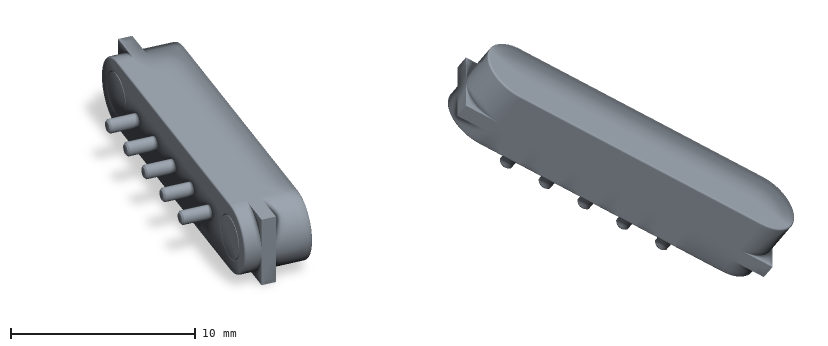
import cadquery as cq

LENGTH = 20.08
HEIGHT = 4.2
DEPTH = 4.0
RIM_RADIUS = 0.1

FLANGE_FRONT_Y = 0.98
FLANGE_THICKNESS = 0.85

MAGNET_SPACING = LENGTH - HEIGHT
MAGNET_DIAMETER = 2.5
MAGNET_HOLE_EDGE_RADIUS = 0.1
MAGNET_DEPTH = DEPTH / 2

PIN_COUNT = 5
PIN_ROW_LENGTH = 10.16
PIN_PITCH = PIN_ROW_LENGTH / (PIN_COUNT - 1)
PIN_DIAMETER = 0.8
PIN_PROJECTION = 1.75
PIN_EMBED = MAGNET_DEPTH
PIN_CHAMFER = 0.1

magnet_xs = [-MAGNET_SPACING / 2, MAGNET_SPACING / 2]
pin_xs = [i * PIN_PITCH - PIN_ROW_LENGTH / 2 for i in range(PIN_COUNT)]


def rod_along_y(diameter, x, start_y, length):
    """Round rod at the given X, running toward +Y from start_y."""
    plane = cq.Plane(origin=(x, start_y, 0), xDir=(1, 0, 0), normal=(0, 1, 0))
    return cq.Workplane(plane).circle(diameter / 2).extrude(length)


def make_housing():
    """Round-ended block with a square-ended flange and blind holes for magnets and pins."""
    body = (
        cq.Workplane("XZ")
        .slot2D(LENGTH, HEIGHT)
        .extrude(-DEPTH)
        .faces("<Y or >Y")
        .fillet(RIM_RADIUS)
    )
    flange = (
        cq.Workplane("XZ", origin=(0, FLANGE_FRONT_Y, 0))
        .rect(LENGTH, HEIGHT)
        .extrude(-FLANGE_THICKNESS)
    )
    body = body.union(flange)
    for x in magnet_xs:
        body = body.cut(rod_along_y(MAGNET_DIAMETER, x, 0, MAGNET_DEPTH))
        hole_mouth = cq.selectors.NearestToPointSelector((x, 0, MAGNET_DIAMETER / 2))
        body = body.faces("<Y").edges("%CIRCLE").edges(hole_mouth).fillet(MAGNET_HOLE_EDGE_RADIUS)
    for x in pin_xs:
        body = body.cut(rod_along_y(PIN_DIAMETER, x, 0, PIN_EMBED))
    return body


def make_magnet(x):
    """Plain disc, flush with the front face of the housing."""
    return rod_along_y(MAGNET_DIAMETER, x, 0, MAGNET_DEPTH)


def make_pin(x):
    """Pin set into the housing, its free end chamfered."""
    pin = rod_along_y(PIN_DIAMETER, x, -PIN_PROJECTION, PIN_PROJECTION + PIN_EMBED)
    return pin.faces("<Y").chamfer(PIN_CHAMFER)


housing = make_housing()
magnets = [make_magnet(x) for x in magnet_xs]
pins = [make_pin(x) for x in pin_xs]

result = cq.Compound.makeCompound(
    [
        housing.val(),
        *[magnet.val() for magnet in magnets],
        *[pin.val() for pin in pins],
    ]
)